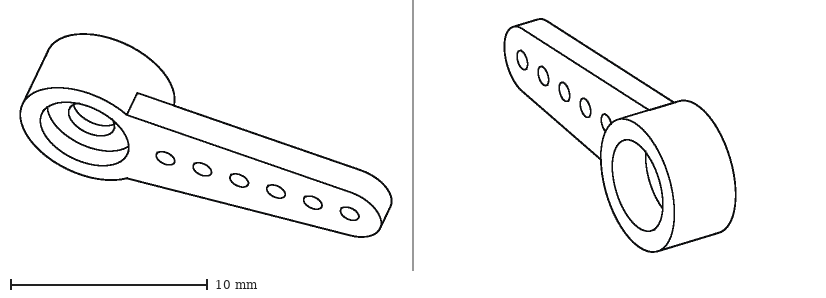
import cadquery as cq

overall_length = 19.63
hub_diameter = 7.0
hub_depth = 3.7
bore_diameter = 2.5
counterbore_diameter = 4.8
counterbore_depth = 1.0
web_thickness = 0.69
rear_recess_diameter = 4.8

arm_thickness = 1.51
arm_root_x = 2.25
arm_root_half_width = 2.65
arm_end_half_width = 1.8
tip_bulge = 1.65

hole_count = 6
hole_diameter = 1.0
hole_pitch = 2.0
first_hole_x = 4.4

hub_radius = hub_diameter / 2
rear_recess_y = counterbore_depth + web_thickness
tip_x = overall_length - hub_radius
arm_end_x = tip_x - tip_bulge


def front_plane():
    """Workplane on the front face; local X, Y are world X, Z and extrusion runs toward -Y."""
    return cq.Workplane("XZ")


def cylinder_along_y(diameter, depth, x=0, start_y=0):
    """Cylinder starting at Y = start_y and running back toward +Y."""
    return front_plane().workplane(offset=-start_y).center(x, 0).circle(diameter / 2).extrude(-depth)


def make_arm():
    return (
        front_plane()
        .moveTo(0, -arm_root_half_width)
        .lineTo(arm_root_x, -arm_root_half_width)
        .lineTo(arm_end_x, -arm_end_half_width)
        .threePointArc((tip_x, 0), (arm_end_x, arm_end_half_width))
        .lineTo(arm_root_x, arm_root_half_width)
        .lineTo(0, arm_root_half_width)
        .close()
        .extrude(-arm_thickness)
    )


result = cylinder_along_y(hub_diameter, hub_depth).union(make_arm())

result = result.cut(cylinder_along_y(bore_diameter, hub_depth))
result = result.cut(cylinder_along_y(counterbore_diameter, counterbore_depth))
result = result.cut(
    cylinder_along_y(rear_recess_diameter, hub_depth - rear_recess_y, start_y=rear_recess_y)
)

for index in range(hole_count):
    hole_x = first_hole_x + index * hole_pitch
    result = result.cut(cylinder_along_y(hole_diameter, arm_thickness, hole_x))